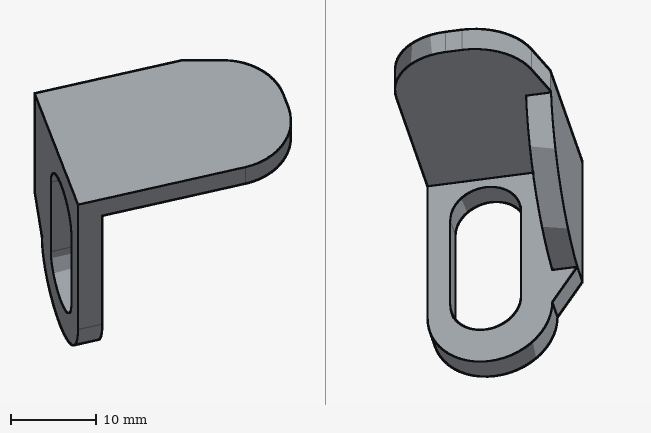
import cadquery as cq
import math

width = 18.0
depth = 28.0
height = 30.0
thickness = 3.0
end_radius = 7.5
gusset_radius = 18.0

top_shoulder_y = 18.05
top_left_center_x = 8.52

slot_width = 8.5
slot_center_x = 11.0
slot_upper_center_z = -8.5
slot_lower_center_z = -21.0

round_center_x = width - end_radius
diagonal = math.sqrt(0.5)


def make_top_plate():
    """Horizontal plate with two rounded corners and a tangent left shoulder."""
    center_y = depth - end_radius
    offset_x = -top_left_center_x
    offset_y = top_shoulder_y - center_y
    to_shoulder = math.atan2(offset_y, offset_x)
    tangent_angle = to_shoulder - math.acos(end_radius / math.hypot(offset_x, offset_y))
    tangent_angle %= 2 * math.pi
    middle_angle = (tangent_angle + math.pi / 2) / 2

    def on_left_arc(angle):
        return (
            top_left_center_x + end_radius * math.cos(angle),
            center_y + end_radius * math.sin(angle),
        )

    right_arc_middle = (
        round_center_x + end_radius * diagonal,
        center_y + end_radius * diagonal,
    )
    return (
        cq.Workplane("XY")
        .moveTo(0, 0)
        .lineTo(width, 0)
        .lineTo(width, center_y)
        .threePointArc(right_arc_middle, (round_center_x, depth))
        .lineTo(top_left_center_x, depth)
        .threePointArc(on_left_arc(middle_angle), on_left_arc(tangent_angle))
        .lineTo(0, top_shoulder_y)
        .close()
        .extrude(-thickness)
    )


def make_upright_plate():
    """Vertical plate with a round lower end and a vertical slot."""
    center_z = end_radius - height
    shoulder_z = -math.sqrt(gusset_radius**2 - thickness**2)
    plate = (
        cq.Workplane("XZ")
        .moveTo(0, 0)
        .lineTo(width, 0)
        .lineTo(width, center_z)
        .threePointArc((round_center_x, -height), (round_center_x - end_radius, center_z))
        .lineTo(0, shoulder_z)
        .close()
        .extrude(-thickness)
    )
    slot_length = slot_upper_center_z - slot_lower_center_z + slot_width
    slot = (
        cq.Workplane("XZ")
        .center(slot_center_x, (slot_upper_center_z + slot_lower_center_z) / 2)
        .slot2D(slot_length, slot_width, 90)
        .extrude(-thickness)
    )
    return plate.cut(slot)


def make_gusset():
    """Quarter-disc web joining both plates on the left side."""
    inner_reach = math.sqrt(gusset_radius**2 - thickness**2)
    arc_middle = (gusset_radius * diagonal, -gusset_radius * diagonal)
    return (
        cq.Workplane("YZ")
        .moveTo(0, 0)
        .lineTo(inner_reach, 0)
        .lineTo(inner_reach, -thickness)
        .threePointArc(arc_middle, (thickness, -inner_reach))
        .lineTo(0, -inner_reach)
        .close()
        .extrude(thickness)
    )


result = make_top_plate().union(make_upright_plate()).union(make_gusset())